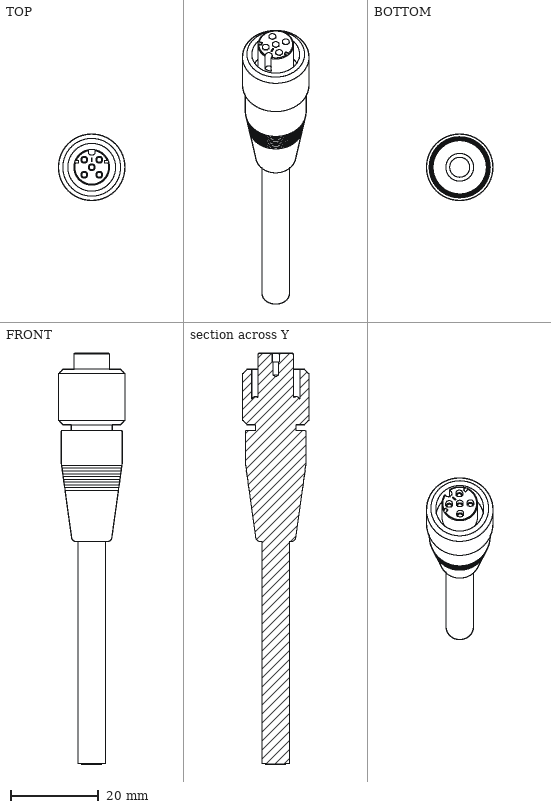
import cadquery as cq
import math

TOTAL_LENGTH = 94.0

INSERT_DIAMETER = 8.13
INSERT_EDGE_CHAMFER = 0.2
CONTACT_CIRCLE_DIAMETER = 4.85
CONTACT_COUNT = 4
CONTACT_ENTRY_DIAMETER = 1.57
CONTACT_ENTRY_DEPTH = 2.0
CONTACT_BORE_DIAMETER = 1.14
CONTACT_BORE_DEPTH = 5.0
CONTACT_TIP_ANGLE = 118.0

KEYWAY_WIDTH = 1.57
KEYWAY_FLOOR_RADIUS = 2.75
KEYWAY_DEPTH = 5.0
MARK_WIDTH = 0.2
MARK_LENGTH = 0.85
MARK_CENTER_Y = 1.75
MARK_DEPTH = 0.13
NOTCH_WIDTH = 0.64
NOTCH_INNER_X = 2.97
NOTCH_CENTER_Y = 1.27
NOTCH_DEPTH = 0.2

NUT_DIAMETER = 15.24
NUT_LENGTH = 12.7
NUT_CHAMFER = 1.02
NUT_SETBACK = 3.68
SOCKET_DIAMETER = 10.92
SOCKET_DEPTH = 7.0

SEAL_CENTER_DIAMETER = 9.42
SEAL_SECTION_DIAMETER = 1.57

NECK_DIAMETER = 9.42
NECK_LENGTH = 1.27
GRIP_DIAMETER = 13.97
GRIP_CYLINDER_LENGTH = 7.62
GRIP_TOP_FILLET = 0.32
GRIP_TIP_DIAMETER = 9.3
GRIP_TAPER_LENGTH = 16.7
GRIP_TIP_RADIUS = 1.14

GROOVE_COUNT = 10
GROOVE_PITCH = 0.635
GROOVE_WIDTH = GROOVE_PITCH / 2
GROOVE_OFFSET = 0.4

CABLE_DIAMETER = 6.35
CORE_DIAMETER = 4.57
CORE_PROTRUSION = 0.2

NUT_TOP = TOTAL_LENGTH - NUT_SETBACK
NUT_BOTTOM = NUT_TOP - NUT_LENGTH
SOCKET_FLOOR = NUT_TOP - SOCKET_DEPTH
GRIP_TOP = NUT_BOTTOM - NECK_LENGTH
TAPER_TOP = GRIP_TOP - GRIP_CYLINDER_LENGTH
TAPER_BOTTOM = TAPER_TOP - GRIP_TAPER_LENGTH
GRIP_BOTTOM = TAPER_BOTTOM - GRIP_TIP_RADIUS


def cylinder(diameter, bottom, top):
    """Solid cylinder on the Z axis between two levels."""
    return cq.Workplane("XY").workplane(offset=bottom).circle(diameter / 2).extrude(top - bottom)


def taper_radius(level):
    """Radius of the tapered grip surface at a given level."""
    slope = (GRIP_DIAMETER - GRIP_TIP_DIAMETER) / 2 / GRIP_TAPER_LENGTH
    return GRIP_DIAMETER / 2 - slope * (TAPER_TOP - level)


def make_grip():
    """Moulded grip: straight band, grooved taper and rounded cable end."""
    grip_radius = GRIP_DIAMETER / 2
    tip_radius = GRIP_TIP_DIAMETER / 2
    arc_center = tip_radius - GRIP_TIP_RADIUS
    arc_offset = GRIP_TIP_RADIUS * math.sqrt(0.5)
    outline = (
        cq.Workplane("XZ")
        .moveTo(0, GRIP_TOP)
        .lineTo(grip_radius, GRIP_TOP)
        .lineTo(grip_radius, TAPER_TOP)
    )
    for index in range(GROOVE_COUNT):
        groove_top = TAPER_TOP - GROOVE_OFFSET - index * GROOVE_PITCH
        groove_bottom = groove_top - GROOVE_WIDTH
        floor_radius = taper_radius(groove_bottom)
        outline = (
            outline.lineTo(taper_radius(groove_top), groove_top)
            .lineTo(floor_radius, groove_top)
            .lineTo(floor_radius, groove_bottom)
        )
    outline = (
        outline.lineTo(tip_radius, TAPER_BOTTOM)
        .threePointArc((arc_center + arc_offset, TAPER_BOTTOM - arc_offset), (arc_center, GRIP_BOTTOM))
        .lineTo(0, GRIP_BOTTOM)
        .close()
    )
    grip = outline.revolve(360, (0, 0), (0, 1))
    return grip.faces(">Z").edges().fillet(GRIP_TOP_FILLET)


def make_nut():
    """Coupling nut with chamfered rims and an open front socket."""
    nut = cylinder(NUT_DIAMETER, NUT_BOTTOM, NUT_TOP).edges().chamfer(NUT_CHAMFER)
    return nut.cut(cylinder(SOCKET_DIAMETER, SOCKET_FLOOR, NUT_TOP))


def make_seal():
    """Sealing ring half sunk in the socket floor."""
    return (
        cq.Workplane("XZ")
        .center(SEAL_CENTER_DIAMETER / 2, SOCKET_FLOOR)
        .circle(SEAL_SECTION_DIAMETER / 2)
        .revolve(360, (-SEAL_CENTER_DIAMETER / 2, 0), (-SEAL_CENTER_DIAMETER / 2, 1))
    )


def make_insert():
    """Contact insert with a chamfered rim, rising out of the socket floor."""
    insert = cylinder(INSERT_DIAMETER, SOCKET_FLOOR, TOTAL_LENGTH)
    return insert.faces(">Z").edges().chamfer(INSERT_EDGE_CHAMFER)


def contact_positions():
    """Centre contact and the ring of contacts around it."""
    ring_radius = CONTACT_CIRCLE_DIAMETER / 2
    positions = [(0, 0)]
    for index in range(CONTACT_COUNT):
        angle = math.radians(45 + index * 360 / CONTACT_COUNT)
        positions.append((ring_radius * math.cos(angle), ring_radius * math.sin(angle)))
    return positions


def make_contact_bore():
    """Stepped contact hole with a conical end, centred on the Z axis."""
    entry_radius = CONTACT_ENTRY_DIAMETER / 2
    bore_radius = CONTACT_BORE_DIAMETER / 2
    entry_floor = TOTAL_LENGTH - CONTACT_ENTRY_DEPTH
    bore_floor = TOTAL_LENGTH - CONTACT_BORE_DEPTH
    tip_depth = bore_radius / math.tan(math.radians(CONTACT_TIP_ANGLE / 2))
    return (
        cq.Workplane("XZ")
        .moveTo(0, TOTAL_LENGTH)
        .lineTo(entry_radius, TOTAL_LENGTH)
        .lineTo(entry_radius, entry_floor)
        .lineTo(bore_radius, entry_floor)
        .lineTo(bore_radius, bore_floor)
        .lineTo(0, bore_floor - tip_depth)
        .close()
        .revolve(360, (0, 0), (0, 1))
    )


def face_recess(width, length, center_x, center_y, depth):
    """Rectangular recess cut down from the contact face."""
    return (
        cq.Workplane("XY")
        .workplane(offset=TOTAL_LENGTH - depth)
        .center(center_x, center_y)
        .rect(width, length)
        .extrude(depth)
    )


def make_keyway():
    """Round-bottomed keyway open to the +Y side of the insert."""
    half_width = KEYWAY_WIDTH / 2
    insert_radius = INSERT_DIAMETER / 2
    arc_level = KEYWAY_FLOOR_RADIUS + half_width
    return (
        cq.Workplane("XY")
        .workplane(offset=TOTAL_LENGTH - KEYWAY_DEPTH)
        .moveTo(-half_width, insert_radius)
        .lineTo(-half_width, arc_level)
        .threePointArc((0, KEYWAY_FLOOR_RADIUS), (half_width, arc_level))
        .lineTo(half_width, insert_radius)
        .close()
        .extrude(KEYWAY_DEPTH)
    )


core = cylinder(CORE_DIAMETER, 0, CORE_PROTRUSION)
cable = cylinder(CABLE_DIAMETER, CORE_PROTRUSION, GRIP_BOTTOM).union(core)
neck = cylinder(NECK_DIAMETER, GRIP_TOP, NUT_BOTTOM)
result = cable.union(make_grip()).union(neck).union(make_nut()).union(make_insert()).union(make_seal())

for x, y in contact_positions():
    result = result.cut(make_contact_bore().translate((x, y, 0)))

result = result.cut(make_keyway())
result = result.cut(face_recess(MARK_WIDTH, MARK_LENGTH, 0, MARK_CENTER_Y, MARK_DEPTH))

notch_length = INSERT_DIAMETER / 2 - NOTCH_INNER_X
notch_center_x = NOTCH_INNER_X + notch_length / 2
for side in (-1, 1):
    notch = face_recess(notch_length, NOTCH_WIDTH, side * notch_center_x, NOTCH_CENTER_Y, NOTCH_DEPTH)
    result = result.cut(notch)